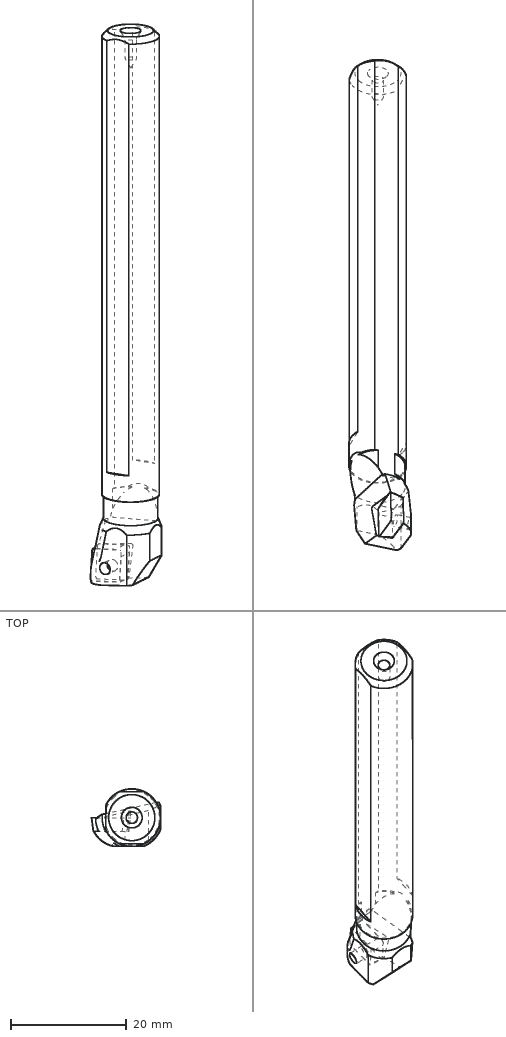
import cadquery as cq
import math


length = 100.0
shank_radius = 5.0
flat_offset = shank_radius - 0.5
flat_end_z = 21.0
end_chamfer = 1.0
center_hole_diameter = 2.0
center_hole_depth = 5.0
countersink_diameter = 3.6
countersink_angle = 60.0

neck_radius = 4.75
neck_top_z = 16.2
neck_bottom_z = 11.9
long_flat_end_z = 11.0

head_top_z = 10.4
head_radius = 5.4
lean_per_height = 0.22
clearance_radius = 5.1
clearance_center_x = -2.1
head_bottom_z = 0.1
heel_x = 2.9
heel_z = 1.3
heel_top_z = 5.4

relief_turn = 12.5
relief_floor_y = 0.5
relief_break_y = 1.7
relief_break_z = 11.3
relief_runout_y = 6.3
relief_runout_z = 19.0

cutting_reach = 7.0
insert_side = 6.4
insert_thickness = 2.4
insert_flank_angle = 7.0
insert_lead = 4.0
insert_end_lead = 6.0
nose_radius = 0.4
pocket_overrun = 1.0
screw_hole_diameter = 2.1
screw_hole_x = -2.3
screw_hole_z = 3.7

BIG = 4 * shank_radius


def cylinder(radius, bottom, top, x=0.0):
    return cq.Workplane("XY", origin=(x, 0, bottom)).circle(radius).extrude(top - bottom)


def cone(bottom_radius, top_radius, bottom, top):
    return (
        cq.Workplane("XY", origin=(0, 0, bottom)).circle(bottom_radius)
        .workplane(offset=top - bottom).circle(top_radius).loft()
    )


def slab(x_range, y_range, z_range):
    lows, highs = zip(x_range, y_range, z_range)
    sizes = [high - low for low, high in zip(lows, highs)]
    return cq.Workplane("XY", origin=lows).box(*sizes, centered=False)


def make_shank():
    shank = cylinder(shank_radius, neck_top_z, length).faces(">Z").chamfer(end_chamfer)
    side_flats = slab((-BIG, BIG), (-flat_offset, flat_offset), (flat_end_z, length))
    plain_end = slab((-BIG, BIG), (-BIG, BIG), (neck_top_z, flat_end_z))
    shank = shank.intersect(side_flats.union(plain_end))
    shank = shank.union(cylinder(neck_radius, neck_bottom_z, neck_top_z))
    return shank.cut(make_center_hole())


def make_center_hole():
    hole_radius = center_hole_diameter / 2
    mouth_radius = countersink_diameter / 2
    slope = math.tan(math.radians(countersink_angle / 2))
    countersink_depth = (mouth_radius - hole_radius) / slope
    return (
        cq.Workplane("XZ")
        .moveTo(0, length)
        .lineTo(mouth_radius, length)
        .lineTo(hole_radius, length - countersink_depth)
        .lineTo(hole_radius, length - center_hole_depth)
        .lineTo(0, length - center_hole_depth - hole_radius / slope)
        .close().revolve(360, (0, 0), (0, 1))
    )


def make_long_flat():
    return slab((-BIG, -flat_offset), (-BIG, BIG), (long_flat_end_z, length))


def make_head():
    lean_end_x = -lean_per_height * head_top_z
    leaning = (
        cq.Workplane("XY").center(lean_end_x, 0).circle(head_radius)
        .workplane(offset=head_top_z).center(-lean_end_x, 0).circle(head_radius).loft()
    )
    straight = cylinder(head_radius, 0, head_top_z)
    clearance = cylinder(clearance_radius, 0, head_top_z, clearance_center_x)
    head = straight.union(leaning.intersect(clearance))
    head = head.union(cone(head_radius, neck_radius, head_top_z, neck_bottom_z))
    head = head.intersect(slab((-BIG, shank_radius), (-shank_radius, BIG), (0, neck_bottom_z)))

    end_profile = (
        cq.Workplane("XZ", origin=(0, BIG, 0))
        .moveTo(-cutting_reach, head_bottom_z)
        .lineTo(heel_x, heel_z)
        .lineTo(shank_radius, heel_top_z)
        .lineTo(shank_radius, neck_bottom_z)
        .lineTo(-cutting_reach, neck_bottom_z)
        .close().extrude(2 * BIG)
    )
    return head.intersect(end_profile)


def make_chip_relief():
    return (
        cq.Workplane("YZ", origin=(-BIG, 0, 0))
        .moveTo(relief_floor_y, 0)
        .lineTo(relief_break_y, relief_break_z)
        .lineTo(relief_runout_y, relief_runout_z)
        .lineTo(BIG, relief_runout_z)
        .lineTo(BIG, 0)
        .close().extrude(2 * BIG)
        .rotate((0, 0, 0), (0, 0, 1), relief_turn)
    )


def make_rhombic_plate(thickness, taper=0):
    lead = math.radians(insert_lead)
    end = math.radians(insert_end_lead)
    half_corner = (math.pi / 2 - lead - end) / 2
    bisector = end + half_corner
    corner_distance = nose_radius / math.sin(half_corner)
    tip_x = -cutting_reach + nose_radius - corner_distance * math.cos(bisector)
    tip_z = nose_radius - corner_distance * math.sin(bisector)
    side_x, side_z = insert_side * math.sin(lead), insert_side * math.cos(lead)
    end_x, end_z = insert_side * math.cos(end), insert_side * math.sin(end)
    return (
        cq.Workplane("XZ")
        .moveTo(tip_x, tip_z)
        .lineTo(tip_x + end_x, tip_z + end_z)
        .lineTo(tip_x + end_x + side_x, tip_z + end_z + side_z)
        .lineTo(tip_x + side_x, tip_z + side_z)
        .close()
        .extrude(thickness, taper=taper)
        .edges("not(#Y)").fillet(nose_radius)
    )


def cut_insert_pocket(body, insert):
    for shift_x in (0, -pocket_overrun):
        for shift_z in (0, -pocket_overrun):
            body = body.cut(insert.translate((shift_x, 0, shift_z)))
    return body.cut(make_rhombic_plate(-shank_radius))


def make_screw_hole():
    return (
        cq.Workplane("XZ", origin=(screw_hole_x, -insert_thickness, screw_hole_z))
        .circle(screw_hole_diameter / 2).extrude(shank_radius)
    )


insert = make_rhombic_plate(insert_thickness, insert_flank_angle)
bar = make_shank().union(make_head()).cut(make_long_flat()).cut(make_chip_relief())
bar = cut_insert_pocket(bar, insert).cut(make_screw_hole())

result = cq.Compound.makeCompound([*bar.solids().vals(), insert.val()])